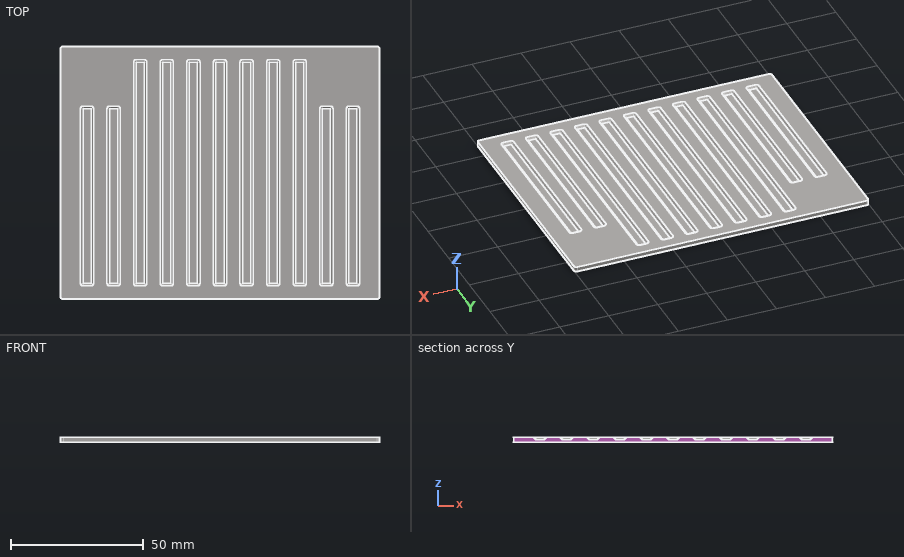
import cadquery as cq

length = 120.0
width = 95.0
thickness = 2.0
corner_radius = 1.0

pitches_along_length = 12
pitch = length / pitches_along_length
groove_width = pitch / 2
end_margin = pitch / 2
long_groove = width - 2 * end_margin
short_groove = 67.5
groove_depth = 1.0
groove_corner_radius = 1.01
wall_slope = 45

grooves_each_side = 5
long_grooves_each_side = 3


def make_plate():
    """Flat plate with rounded vertical corners, its underside on Z = 0."""
    plate = cq.Workplane("XY").box(length, width, thickness, centered=(True, True, False))
    return plate.edges("|Z").fillet(corner_radius)


def make_groove_cutter(x, groove_length):
    """Groove starting at the -Y margin, with rounded corners and walls sloping in to the floor."""
    y = -width / 2 + end_margin + groove_length / 2
    mouth = cq.Sketch().rect(groove_width, groove_length).vertices().fillet(groove_corner_radius)
    return (
        cq.Workplane("XY", origin=(x, y, thickness))
        .placeSketch(mouth)
        .extrude(-groove_depth, taper=wall_slope)
    )


result = make_plate()
for index in range(-grooves_each_side, grooves_each_side + 1):
    is_long = abs(index) <= long_grooves_each_side
    groove_length = long_groove if is_long else short_groove
    result = result.cut(make_groove_cutter(index * pitch, groove_length))